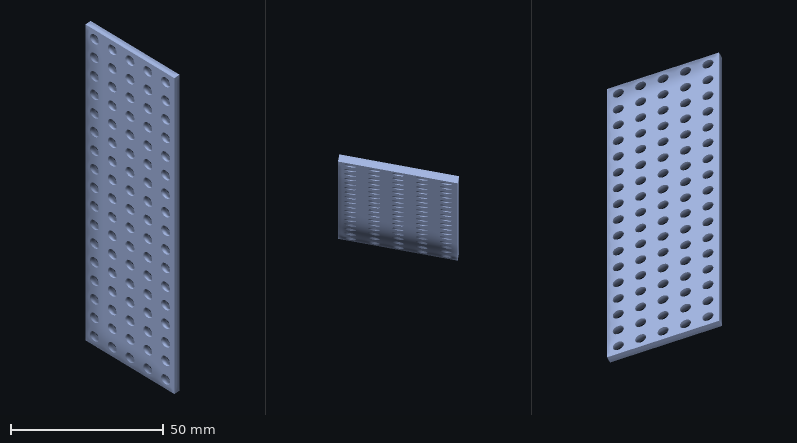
import cadquery as cq

height = 136.0
columns = 5
rows = 17
thickness = 2.5
hole_diameter = 4.0

pitch = height / rows
width = columns * pitch

plate = cq.Workplane("XZ").box(width, height, thickness)

result = (
    plate.faces("<Y")
    .workplane(centerOption="CenterOfBoundBox")
    .rarray(pitch, pitch, columns, rows)
    .hole(hole_diameter)
)